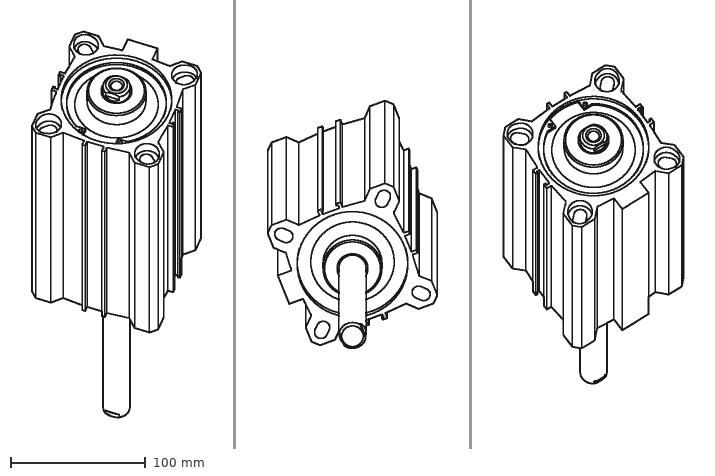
import cadquery as cq
import math


rod_length = 402.0
rod_top = rod_length / 2
rod_bottom = -rod_length / 2
housing_top = 183.0
housing_bottom = -22.5
housing_length = housing_top - housing_bottom

housing_half_width = 50.05
ear_inner_edge = 33.15
wall_edge = 26.0
wall_edge_offset = 42.8
wall_middle_offset = 44.2
corner_radius = 67.35

rib_outer = 9.05
rib_inner = 6.65
rib_tip_offset = 48.2
hook_inner = 5.2
hook_thickness = 1.5
block_half_width = 11.85
block_offset = 54.87

ear_hole_radius = 54.87
bolt_diameter = 9.5
bolt_widening = 4.0
bolt_shift = 1.0
counterbore_diameter = 18.0
counterbore_relief_diameter = 16.0
counterbore_relief_shift = 2.0
counterbore_depth = 9.0

bore_diameter = 82.0
cover_thickness = 20.0
cover_recess = 6.5
boss_diameter = 44.0
boss_projection = 10.5
boss_chamfer = 1.2
cone_diameter = 62.0
cone_height = 4.5
mouth_diameter = 23.0

ring_outer_diameter = 85.5
ring_inner_diameter = 74.0
ring_thickness = 2.5
ring_gap_half_width = 13.0
lug_outer_x = 21.7
lug_inner_y = 31.0
lug_hole_diameter = 3.0
lug_hole_x = 15.5
lug_hole_y = 33.8

rod_diameter = 20.0
rod_chamfer = 2.0
flats_width = 17.0
flats_length = 5.5
tapped_diameter = 8.5
tapped_mouth_diameter = 11.3
tapped_depth = 20.0
drill_point_angle = 118.0

flange_face = housing_top - cover_recess
boss_top = housing_top + boss_projection
housing_middle = (housing_top + housing_bottom) / 2


def cylinder(diameter, z_bottom, z_top, x=0.0, y=0.0):
    height = z_top - z_bottom
    return cq.Workplane("XY", origin=(x, y, z_bottom)).circle(diameter / 2).extrude(height)


def box_between(x_range, y_range, z_range):
    lengths = [high - low for low, high in (x_range, y_range, z_range)]
    corner = (x_range[0], y_range[0], z_range[0])
    return cq.Workplane("XY", origin=corner).box(*lengths, centered=False)


def turned(x, y, degrees):
    angle = math.radians(degrees)
    return (
        x * math.cos(angle) - y * math.sin(angle),
        x * math.sin(angle) + y * math.cos(angle),
    )


def housing_core():
    """Square extrusion with an ear at each corner and slightly crowned side walls."""
    side = [
        (housing_half_width, housing_half_width),
        (ear_inner_edge, housing_half_width),
        (wall_edge, wall_edge_offset),
        (rib_outer, wall_middle_offset),
        (-rib_outer, wall_middle_offset),
        (-wall_edge, wall_edge_offset),
        (-ear_inner_edge, housing_half_width),
    ]
    outline = [turned(x, y, quarter * 90) for quarter in range(4) for x, y in side]
    core = cq.Workplane("XY", origin=(0, 0, housing_bottom)).polyline(outline).close()
    core = core.extrude(housing_length)
    return core.intersect(cylinder(2 * corner_radius, housing_bottom, housing_top))


def add_rails(housing):
    """Rib pairs on -X, +X and -Y (hooked on the X sides) and a solid block on +Y."""
    height = (housing_bottom, housing_top)
    depth = (wall_edge_offset, rib_tip_offset)
    hook_depth = (rib_tip_offset - hook_thickness, rib_tip_offset)
    for mirror in (1, -1):
        span = sorted((mirror * rib_inner, mirror * rib_outer))
        hook_span = sorted((mirror * hook_inner, mirror * rib_outer))
        rib = box_between(span, depth, height)
        hook = box_between(hook_span, hook_depth, height)
        for degrees in (90, 180, 270):
            housing = housing.union(rib.rotate((0, 0, 0), (0, 0, 1), degrees))
        for degrees in (90, 270):
            housing = housing.union(hook.rotate((0, 0, 0), (0, 0, 1), degrees))
    block = box_between((-block_half_width, block_half_width), (wall_edge_offset, block_offset), height)
    return housing.union(block)


def ear_hole(degrees):
    """Through hole and counterbore of one ear, both widened towards the corner."""
    floor = housing_top - counterbore_depth
    x, y = turned(ear_hole_radius, 0, degrees)
    relief_x, relief_y = turned(ear_hole_radius + counterbore_relief_shift, 0, degrees)
    bolt_hole = (
        cq.Workplane("XY", origin=(0, 0, housing_bottom))
        .transformed(rotate=(0, 0, degrees))
        .center(ear_hole_radius + bolt_shift, 0)
        .slot2D(bolt_diameter + bolt_widening, bolt_diameter)
        .extrude(housing_length)
    )
    counterbore = cylinder(counterbore_diameter, floor, housing_top, x, y)
    relief = cylinder(counterbore_relief_diameter, floor, housing_top, relief_x, relief_y)
    return bolt_hole.union(counterbore).union(relief)


def make_housing():
    housing = add_rails(housing_core())
    for quarter in range(4):
        housing = housing.cut(ear_hole(45 + quarter * 90))
    housing = housing.cut(cylinder(bore_diameter, housing_bottom, housing_top))
    groove = cylinder(ring_outer_diameter, flange_face, flange_face + ring_thickness)
    return housing.cut(groove)


def make_end_cover():
    """Top end cover: flange in the bore with a cone rising to a chamfered boss around the rod."""
    mouth_depth = (mouth_diameter - rod_diameter) / 2
    half_section = [
        (rod_diameter / 2, flange_face - cover_thickness),
        (bore_diameter / 2, flange_face - cover_thickness),
        (bore_diameter / 2, flange_face),
        (cone_diameter / 2, flange_face),
        (boss_diameter / 2, flange_face + cone_height),
        (boss_diameter / 2, boss_top - boss_chamfer),
        (boss_diameter / 2 - boss_chamfer, boss_top),
        (mouth_diameter / 2, boss_top),
        (rod_diameter / 2, boss_top - mouth_depth),
    ]
    return cq.Workplane("XZ").polyline(half_section).close().revolve(360, (0, 0, 0), (0, 1, 0))


def make_retaining_ring():
    """Snap ring in the bore groove, open towards -Y with a drilled lug at each end."""
    z_range = (flange_face, flange_face + ring_thickness)
    disc = cylinder(ring_outer_diameter, *z_range)
    ring = disc.cut(cylinder(ring_inner_diameter, *z_range))
    outer_y = -ring_outer_diameter / 2
    for mirror in (1, -1):
        span = sorted((mirror * ring_gap_half_width, mirror * lug_outer_x))
        lug = box_between(span, (outer_y, -lug_inner_y), z_range)
        ring = ring.union(lug.intersect(disc))
        ring = ring.cut(cylinder(lug_hole_diameter, *z_range, mirror * lug_hole_x, -lug_hole_y))
    gap = box_between((-ring_gap_half_width, ring_gap_half_width), (outer_y, -lug_inner_y), z_range)
    return ring.cut(gap)


def tapped_hole():
    """Countersunk blind hole with a drill point in the rod's top end."""
    radius = tapped_diameter / 2
    mouth_radius = tapped_mouth_diameter / 2
    bottom = rod_top - tapped_depth
    point = radius / math.tan(math.radians(drill_point_angle / 2))
    half_section = [
        (0, rod_top),
        (mouth_radius, rod_top),
        (radius, rod_top - (mouth_radius - radius)),
        (radius, bottom),
        (0, bottom - point),
    ]
    return cq.Workplane("XZ").polyline(half_section).close().revolve(360, (0, 0, 0), (0, 1, 0))


def wrench_flat_cut():
    """Material removed for one flat on +Y at the top end, running out at 45 degrees."""
    radius = rod_diameter / 2
    depth = flats_width / 2
    flat_end = rod_top - flats_length
    section = [
        (depth, rod_top),
        (radius, rod_top),
        (radius, flat_end - (radius - depth)),
        (depth, flat_end),
    ]
    return cq.Workplane("YZ").polyline(section).close().extrude(radius, both=True)


def make_rod():
    """Through rod with chamfered ends, a pair of wrench flats at each end and a tapped top end."""
    rod = cylinder(rod_diameter, rod_bottom, rod_top).faces("<Z or >Z").chamfer(rod_chamfer)
    front_and_back = [wrench_flat_cut(), wrench_flat_cut().mirror("XZ")]
    for flat in front_and_back:
        rod = rod.cut(flat).cut(flat.mirror("XY"))
    return rod.cut(tapped_hole())


housing = make_housing()
end_covers = [make_end_cover(), make_end_cover().mirror("XY", (0, 0, housing_middle))]
retaining_ring = make_retaining_ring()
rod = make_rod()

result = cq.Compound.makeCompound(
    [housing.val(), *[cover.val() for cover in end_covers], retaining_ring.val(), rod.val()]
)